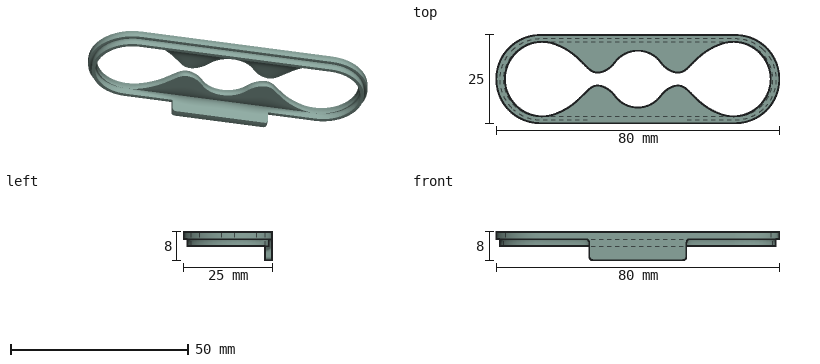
import cadquery as cq
import math

length = 80.0
width = 25.0
plate_thickness = 2.0
plate_radius = width / 2
straight_length = length - width

rim_inset = 1.0
rim_wall = 1.0
rim_height = 2.0
rim_outer_radius = plate_radius - rim_inset
rim_inner_radius = rim_outer_radius - rim_wall

end_lobe_radius = 10.5
end_lobe_x = 27.0
end_lobe_join_angle = math.radians(70)
middle_lobe_radius = 8.0
middle_lobe_join_angle = math.radians(36)
neck_x = 10.7
neck_half_gap = 1.85

tab_length = 27.5
tab_thickness = 2.0
tab_bottom_z = -8.0
tab_corner_radius = 1.0


def stadium(radius, height, top_z):
    """Stadium-shaped block whose end arcs share the plate's end centres."""
    return (
        cq.Workplane("XY", origin=(0, 0, top_z))
        .slot2D(straight_length + 2 * radius, 2 * radius)
        .extrude(-height)
    )


def lobed_opening():
    """Cutter for the opening, drawn counterclockwise from the +X end."""
    end_join_x = end_lobe_x - end_lobe_radius * math.cos(end_lobe_join_angle)
    end_join_y = end_lobe_radius * math.sin(end_lobe_join_angle)
    middle_join_x = middle_lobe_radius * math.cos(middle_lobe_join_angle)
    middle_join_y = middle_lobe_radius * math.sin(middle_lobe_join_angle)
    end_tip_x = end_lobe_x + end_lobe_radius

    end_slope = (math.sin(end_lobe_join_angle), math.cos(end_lobe_join_angle))
    middle_slope = (math.sin(middle_lobe_join_angle), math.cos(middle_lobe_join_angle))

    outline = cq.Workplane("XY").moveTo(end_join_x, -end_join_y)
    for side in (1, -1):
        outline = (
            outline
            .threePointArc((side * end_tip_x, 0), (side * end_join_x, side * end_join_y))
            .spline(
                [(side * neck_x, side * neck_half_gap), (side * middle_join_x, side * middle_join_y)],
                tangents=[
                    (-side * end_slope[0], -side * end_slope[1]),
                    (-side * middle_slope[0], side * middle_slope[1]),
                ],
                includeCurrent=True,
            )
            .threePointArc((0, side * middle_lobe_radius), (-side * middle_join_x, side * middle_join_y))
            .spline(
                [(-side * neck_x, side * neck_half_gap), (-side * end_join_x, side * end_join_y)],
                tangents=[
                    (-side * middle_slope[0], -side * middle_slope[1]),
                    (-side * end_slope[0], side * end_slope[1]),
                ],
                includeCurrent=True,
            )
        )
    return outline.close().extrude(-plate_thickness)


def lower_rim():
    """Thin stadium wall below the plate."""
    outer = stadium(rim_outer_radius, rim_height, -plate_thickness)
    inner = stadium(rim_inner_radius, rim_height, -plate_thickness)
    return outer.cut(inner)


def edge_tab():
    """Tab with rounded lower corners and fillets flaring into the plate's underside."""
    half = tab_length / 2
    radius = tab_corner_radius
    diagonal = radius * (1 - math.sqrt(0.5))
    root_z = -plate_thickness
    return (
        cq.Workplane("XZ", origin=(0, -plate_radius, 0))
        .moveTo(-half - radius, root_z)
        .threePointArc((-half - diagonal, root_z - diagonal), (-half, root_z - radius))
        .lineTo(-half, tab_bottom_z + radius)
        .threePointArc((-half + diagonal, tab_bottom_z + diagonal), (-half + radius, tab_bottom_z))
        .lineTo(half - radius, tab_bottom_z)
        .threePointArc((half - diagonal, tab_bottom_z + diagonal), (half, tab_bottom_z + radius))
        .lineTo(half, root_z - radius)
        .threePointArc((half + diagonal, root_z - diagonal), (half + radius, root_z))
        .close()
        .extrude(-tab_thickness)
    )


plate = stadium(plate_radius, plate_thickness, 0).cut(lobed_opening())
result = plate.union(lower_rim()).union(edge_tab())